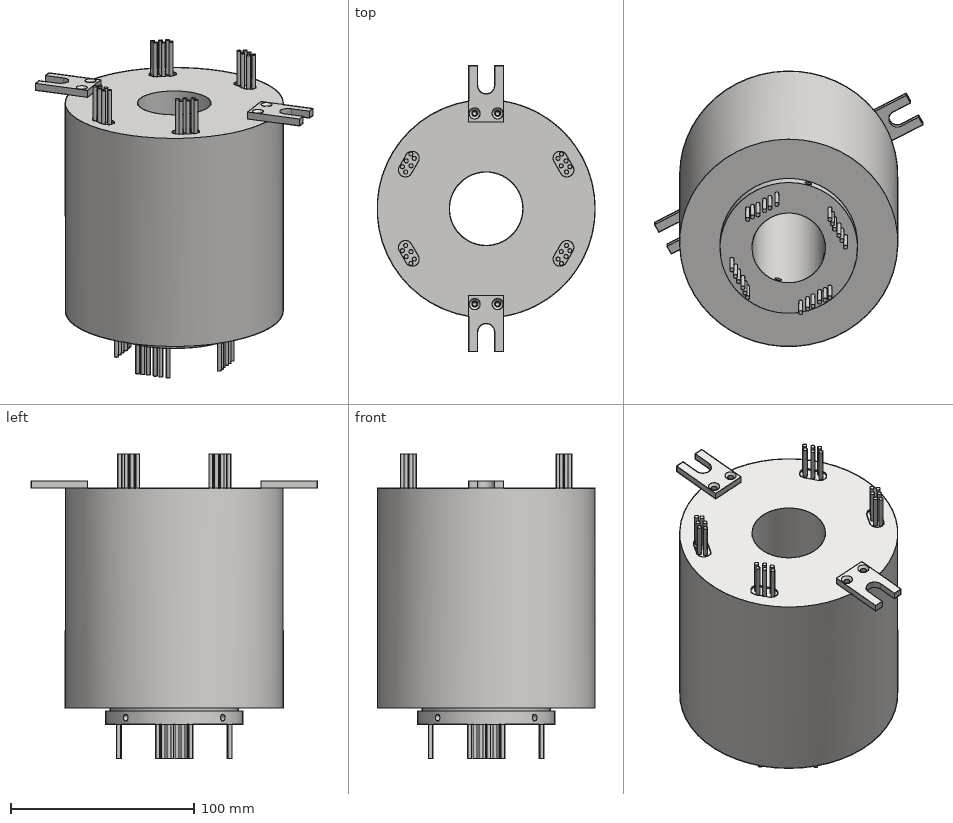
import cadquery as cq
import math

BODY_DIAMETER = 119.0
BODY_HEIGHT = 120.0
BORE_DIAMETER = 40.0

NECK_DIAMETER = 70.0
NECK_HEIGHT = 1.5
FLANGE_DIAMETER = 75.0
FLANGE_HEIGHT = 7.3
SET_SCREW_DIAMETER = 3.5
SET_SCREW_ANGLES = (45, 135, 225, 315)

WIRE_DIAMETER = 2.2
WIRE_LENGTH = 18.7

TAB_WIDTH = 19.2
TAB_LENGTH = 30.7
TAB_THICKNESS = 4.0
TAB_TIP_RADIUS = 78.0
FORK_WIDTH = 9.2
FORK_DEPTH = 15.3
TAB_HOLE_SPACING = 12.5
TAB_HOLE_INSET = 4.7
TAB_HOLE_DIAMETER = 3.2
COUNTERSINK_DIAMETER = 6.0
COUNTERSINK_ANGLE = 90.0
TAPPED_HOLE_DIAMETER = 2.4
TAPPED_HOLE_DEPTH = 6.0
DRILL_POINT_ANGLE = 118.0

OUTLET_RADIUS = 48.7
OUTLET_ANGLE = 30.0
OUTLET_LENGTH = 15.0
OUTLET_WIDTH = 7.6
OUTLET_DEPTH = 1.0

OUTLET_WIRES = [
    (1.8, 5.3),
    (2.1, 0.8),
    (2.3, -3.0),
    (-1.0, 4.2),
    (-1.5, -0.2),
    (-0.7, -4.6),
]

LOWER_WIRES = [
    (30.4, -9.05),
    (30.4, -6.1),
    (30.0, -2.9),
    (30.4, 1.4),
    (30.4, 4.7),
    (30.4, 9.0),
]

NECK_BOTTOM = -NECK_HEIGHT
FLANGE_BOTTOM = NECK_BOTTOM - FLANGE_HEIGHT
TAB_INNER_END = TAB_TIP_RADIUS - TAB_LENGTH
TAB_HOLE_Y = TAB_INNER_END + TAB_HOLE_INSET
TAB_HOLE_POINTS = [(-TAB_HOLE_SPACING / 2, TAB_HOLE_Y), (TAB_HOLE_SPACING / 2, TAB_HOLE_Y)]
WIRE_EMBED = 1.0


def cylinder(diameter, bottom, top, x=0.0, y=0.0):
    """Vertical cylinder between two heights."""
    return cq.Workplane("XY", origin=(x, y, bottom)).circle(diameter / 2).extrude(top - bottom)


def turned(shape, angle):
    """Shape turned about the axis of the part."""
    return shape.rotate((0, 0, 0), (0, 0, 1), angle)


def make_main_body():
    """Body, neck and flange with the bore through all three."""
    body = cylinder(BODY_DIAMETER, 0, BODY_HEIGHT)
    body = body.union(cylinder(NECK_DIAMETER, NECK_BOTTOM, 0))
    body = body.union(cylinder(FLANGE_DIAMETER, FLANGE_BOTTOM, NECK_BOTTOM))
    return body.cut(cylinder(BORE_DIAMETER, FLANGE_BOTTOM, BODY_HEIGHT))


def make_set_screw_holes():
    """Four radial holes from the rim of the flange to the bore, on the diagonals."""
    middle = (NECK_BOTTOM + FLANGE_BOTTOM) / 2
    hole = cq.Workplane("YZ", origin=(0, 0, middle)).circle(SET_SCREW_DIAMETER / 2).extrude(FLANGE_DIAMETER)
    holes = cq.Workplane("XY")
    for angle in SET_SCREW_ANGLES:
        holes = holes.add(turned(hole, angle))
    return holes


def make_tab():
    """Forked tab on the +Y side, lying on the top face, with two countersunk holes."""
    fork_centre = TAB_TIP_RADIUS - FORK_DEPTH + FORK_WIDTH / 2
    half_width = TAB_WIDTH / 2
    half_fork = FORK_WIDTH / 2
    tab = (
        cq.Workplane("XY", origin=(0, 0, BODY_HEIGHT))
        .moveTo(-half_width, TAB_INNER_END)
        .lineTo(half_width, TAB_INNER_END)
        .lineTo(half_width, TAB_TIP_RADIUS)
        .lineTo(half_fork, TAB_TIP_RADIUS)
        .lineTo(half_fork, fork_centre)
        .threePointArc((0, fork_centre - half_fork), (-half_fork, fork_centre))
        .lineTo(-half_fork, TAB_TIP_RADIUS)
        .lineTo(-half_width, TAB_TIP_RADIUS)
        .close()
        .extrude(TAB_THICKNESS)
    )
    return (
        cq.Workplane("XY", origin=(0, 0, BODY_HEIGHT + TAB_THICKNESS))
        .add(tab)
        .pushPoints(TAB_HOLE_POINTS)
        .cskHole(TAB_HOLE_DIAMETER, COUNTERSINK_DIAMETER, COUNTERSINK_ANGLE)
    )


def make_tapped_hole():
    """Blind hole with a drill point, opening at the origin and going down."""
    radius = TAPPED_HOLE_DIAMETER / 2
    point_height = radius / math.tan(math.radians(DRILL_POINT_ANGLE / 2))
    profile = (
        cq.Workplane("XZ")
        .lineTo(radius, 0)
        .lineTo(radius, -TAPPED_HOLE_DEPTH)
        .lineTo(0, -TAPPED_HOLE_DEPTH - point_height)
        .close()
    )
    return profile.revolve(360, (0, 0, 0), (0, 1, 0))


def make_outlet_pocket():
    """Shallow slot in the top face, across the radial direction."""
    pocket = (
        cq.Workplane("XY", origin=(0, 0, BODY_HEIGHT - OUTLET_DEPTH))
        .center(OUTLET_RADIUS, 0)
        .slot2D(OUTLET_LENGTH, OUTLET_WIDTH, 90)
        .extrude(OUTLET_DEPTH)
    )
    return turned(pocket, OUTLET_ANGLE)


def make_outlet_wires():
    """Six wires standing up from the floor of one outlet."""
    root = BODY_HEIGHT - OUTLET_DEPTH - WIRE_EMBED
    wires = cq.Workplane("XY")
    for radial, tangential in OUTLET_WIRES:
        wire = cylinder(WIRE_DIAMETER, root, BODY_HEIGHT + WIRE_LENGTH, OUTLET_RADIUS + radial, tangential)
        wires = wires.add(wire)
    return turned(wires, OUTLET_ANGLE)


def make_lower_wires():
    """Six wires hanging from the flange on the -Y side."""
    wires = cq.Workplane("XY")
    for distance, sideways in LOWER_WIRES:
        wire = cylinder(
            WIRE_DIAMETER, FLANGE_BOTTOM - WIRE_LENGTH, FLANGE_BOTTOM + WIRE_EMBED, sideways, -distance
        )
        wires = wires.add(wire)
    return wires


def in_four_quadrants(shape):
    """A shape in the +X +Y quadrant and its mirror images in the other three."""
    left = shape.mirror("YZ")
    return [shape, left, shape.mirror("XZ"), left.mirror("XZ")]


def join(part, group):
    """The part with every solid of a group added to it."""
    for piece in group.vals():
        part = part.union(cq.Workplane(piece))
    return part


result = make_main_body()
for hole in make_set_screw_holes().vals():
    result = result.cut(cq.Workplane(hole))

tab = make_tab()
tapped_hole = make_tapped_hole()
for angle in (0, 180):
    for x, y in TAB_HOLE_POINTS:
        placed_hole = tapped_hole.translate((x, y, BODY_HEIGHT))
        result = result.cut(turned(placed_hole, angle))
    result = result.union(turned(tab, angle))

for pocket in in_four_quadrants(make_outlet_pocket()):
    result = result.cut(pocket)
for wires in in_four_quadrants(make_outlet_wires()):
    result = join(result, wires)

lower_wires = make_lower_wires()
for angle in (0, 90, 180, 270):
    result = join(result, turned(lower_wires, angle))